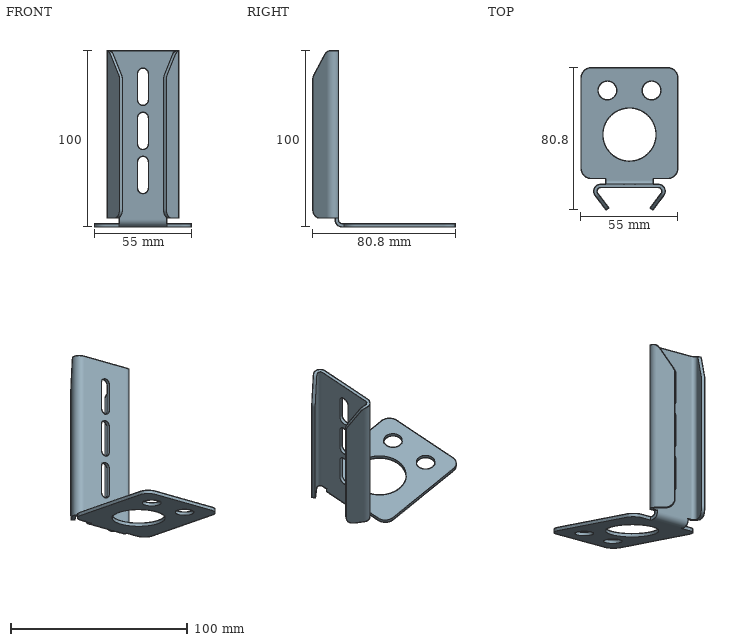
import cadquery as cq
import math

thickness = 2.0
inner_radius = 2.0
outer_radius = inner_radius + thickness
height = 100.0

plate_width = 55.0
plate_length = 63.0
plate_rear = 66.1
plate_corner_radius = 6.0
main_hole_diameter = 30.0
main_hole_inset = 38.0
small_hole_diameter = 10.5
small_hole_inset = 13.0
small_hole_spacing = 25.0

tab_width = 27.0

channel_bottom = 5.0
channel_width = 40.6
channel_depth = 14.7
wing_angle = math.radians(37.0)
wing_corner_radius = 5.0
wing_slope_length = 10.0
wing_slope_height = 15.0

slot_width = 6.0
slot_length = 21.0
slot_pitch = 25.0
lowest_slot_height = 29.5
slot_count = 3

bend_x = channel_width / 2 - outer_radius
bend_y = -outer_radius
channel_height = height - channel_bottom
wing_length = (channel_depth - outer_radius * (1 + math.sin(wing_angle))) / math.cos(wing_angle)


def on_bend(radius, angle):
    """Point on the right-hand wing bend; the angle is measured from +X."""
    return (bend_x + radius * math.cos(angle), bend_y + radius * math.sin(angle))


def along_wing(point):
    """Point moved from the start of the flat wing to its free edge."""
    return (
        point[0] - wing_length * math.sin(wing_angle),
        point[1] - wing_length * math.cos(wing_angle),
    )


def make_plate():
    plate_center = plate_rear - plate_length / 2
    small_hole_x = small_hole_spacing / 2
    small_hole_y = plate_rear - small_hole_inset
    plate = (
        cq.Workplane("XY")
        .center(0, plate_center)
        .rect(plate_width, plate_length)
        .extrude(thickness)
        .edges("|Z")
        .fillet(plate_corner_radius)
    )
    main_hole = (
        cq.Workplane("XY")
        .center(0, plate_rear - main_hole_inset)
        .circle(main_hole_diameter / 2)
        .extrude(thickness)
    )
    small_holes = (
        cq.Workplane("XY")
        .pushPoints([(-small_hole_x, small_hole_y), (small_hole_x, small_hole_y)])
        .circle(small_hole_diameter / 2)
        .extrude(thickness)
    )
    return plate.cut(main_hole).cut(small_holes)


def make_tab():
    """Bent strip running from the plate edge up to the bottom of the web."""
    plate_front = plate_rear - plate_length
    diagonal = math.sqrt(0.5)
    inner_mid = inner_radius * (1 - diagonal)
    outer_mid = inner_radius - outer_radius * diagonal
    return (
        cq.Workplane("YZ")
        .moveTo(plate_front, 0)
        .lineTo(inner_radius, 0)
        .threePointArc((outer_mid, thickness + outer_mid), (-thickness, outer_radius))
        .lineTo(-thickness, channel_bottom)
        .lineTo(0, channel_bottom)
        .lineTo(0, outer_radius)
        .threePointArc((inner_mid, thickness + inner_mid), (inner_radius, thickness))
        .lineTo(plate_front, thickness)
        .close()
        .extrude(tab_width / 2, both=True)
    )


def make_half_channel():
    """Right half of the channel section, at full height."""
    mid_angle = (math.pi / 2 - wing_angle) / 2
    outer_end = on_bend(outer_radius, -wing_angle)
    inner_end = on_bend(inner_radius, -wing_angle)
    return (
        cq.Workplane("XY", origin=(0, 0, channel_bottom))
        .moveTo(0, 0)
        .lineTo(bend_x, 0)
        .threePointArc(on_bend(outer_radius, mid_angle), outer_end)
        .lineTo(*along_wing(outer_end))
        .lineTo(*along_wing(inner_end))
        .lineTo(*inner_end)
        .threePointArc(on_bend(inner_radius, mid_angle), (bend_x, -thickness))
        .lineTo(0, -thickness)
        .close()
        .extrude(channel_height)
    )


def make_wing_trim():
    """Material outside the wing outline: rounded bottom corner and sloped top."""
    start = -outer_radius
    slope_start = wing_length - wing_slope_length
    outline_points = [
        (start, 0),
        (wing_length, 0),
        (wing_length, channel_height - wing_slope_height),
        (slope_start, channel_height),
        (start, channel_height),
    ]
    wing_plane = cq.Plane(
        origin=(bend_x, bend_y, channel_bottom),
        xDir=(-math.sin(wing_angle), -math.cos(wing_angle), 0),
        normal=(-math.cos(wing_angle), math.sin(wing_angle), 0),
    )
    outline = (
        cq.Workplane(wing_plane)
        .polyline(outline_points)
        .close()
        .extrude(-outer_radius)
    )
    corners = [outline_points[1], outline_points[2], outline_points[3]]
    for x, y in corners:
        middle = wing_plane.toWorldCoords((x, y, -outer_radius / 2))
        outline = outline.edges(cq.selectors.NearestToPointSelector(middle.toTuple()))
        outline = outline.fillet(wing_corner_radius)
    blank = (
        cq.Workplane(wing_plane)
        .moveTo(start, 0)
        .lineTo(wing_length, 0)
        .lineTo(wing_length, channel_height)
        .lineTo(start, channel_height)
        .close()
        .extrude(-outer_radius)
    )
    return blank.cut(outline)


def make_slots():
    heights = [lowest_slot_height + i * slot_pitch for i in range(slot_count)]
    return (
        cq.Workplane("XZ")
        .pushPoints([(0, z) for z in heights])
        .slot2D(slot_length, slot_width, 90)
        .extrude(thickness)
    )


half_channel = make_half_channel().cut(make_wing_trim())
channel = half_channel.union(half_channel.mirror("YZ")).cut(make_slots())
result = make_plate().union(make_tab()).union(channel).clean()